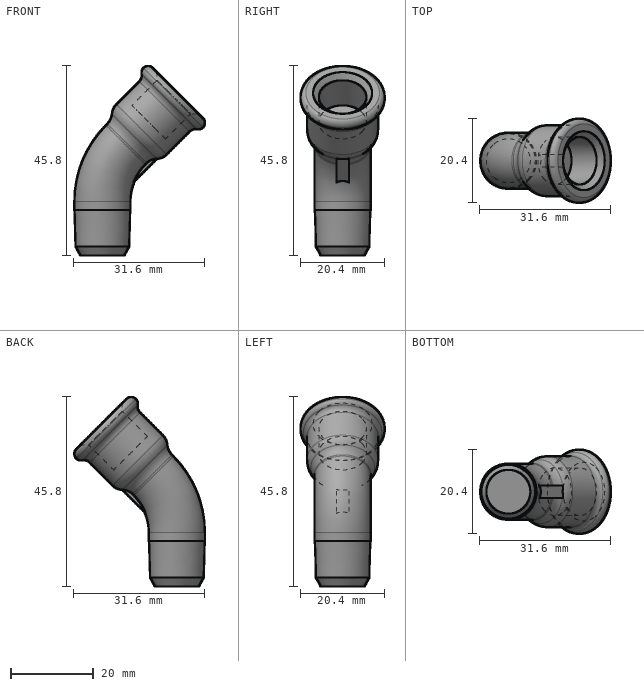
import cadquery as cq
import math


BEND_ANGLE = 45.0
AXIS_CROSSING_Z = 21.0
BEND_START_Z = 13.0
MOUTH_DISTANCE = 25.76

PIPE_RADIUS = 6.8
SPIGOT_LENGTH = 11.0
SPIGOT_TOP_RADIUS = 6.75
SPIGOT_LOWER_RADIUS = 6.5
LEAD_IN_HEIGHT = 2.2
LEAD_IN_END_RADIUS = 5.3

SOCKET_RADIUS = 8.6
BEAD_RADIUS = 1.65
BEAD_CENTRE_RADIUS = 8.55
MOUTH_FACE_RADIUS = 8.88
BEAD_BLEND_DEPTH = 4.6
SHOULDER_START_DEPTH = 12.4
SHOULDER_END_DEPTH = 17.3
BORE_RADIUS = 5.73
BORE_DEPTH = 9.95
BORE_CHAMFER = 1.39

WEB_THICKNESS = 3.0
WEB_EDGE_RADIUS = 7.67
WEB_START_DEPTH = 13.5
WEB_END_DEPTH = 25.5

TANGENT_LENGTH = AXIS_CROSSING_Z - BEND_START_Z
BEND_RADIUS = TANGENT_LENGTH / math.tan(math.radians(BEND_ANGLE / 2))
BEND_END_DEPTH = MOUTH_DISTANCE - TANGENT_LENGTH


def place_on_socket_axis(shape):
    """Move a shape built with its mouth at the origin, facing +Z, onto the socket axis."""
    raised = shape.translate((0, 0, MOUTH_DISTANCE))
    tilted = raised.rotate((0, 0, 0), (0, 1, 0), BEND_ANGLE)
    return tilted.translate((0, 0, AXIS_CROSSING_Z))


def revolve_about_z(profile):
    """Revolve a closed (radius, height) outline about the Z axis."""
    return profile.close().revolve(360, (0, 0, 0), (0, 1, 0))


def make_spigot():
    """Tapered spigot with a conical lead-in and a short cylindrical collar."""
    profile = (
        cq.Workplane("XZ")
        .lineTo(LEAD_IN_END_RADIUS, 0)
        .lineTo(SPIGOT_LOWER_RADIUS, LEAD_IN_HEIGHT)
        .lineTo(SPIGOT_TOP_RADIUS, SPIGOT_LENGTH)
        .lineTo(PIPE_RADIUS, SPIGOT_LENGTH)
        .lineTo(PIPE_RADIUS, BEND_START_Z)
        .lineTo(0, BEND_START_Z)
    )
    return revolve_about_z(profile)


def make_bend():
    """Circular pipe section swept around the bend towards +X."""
    return (
        cq.Workplane("XY", origin=(0, 0, BEND_START_Z))
        .circle(PIPE_RADIUS)
        .revolve(BEND_ANGLE, (BEND_RADIUS, 0, 0), (BEND_RADIUS, 1, 0))
    )


def make_socket():
    """Solid socket body: ogee shoulder, straight wall, fillet and rolled bead."""
    wall_offset = SOCKET_RADIUS - BEAD_CENTRE_RADIUS
    mouth_face_step = MOUTH_FACE_RADIUS - BEAD_CENTRE_RADIUS
    bead_depth = math.sqrt(BEAD_RADIUS**2 - mouth_face_step**2)
    blend_run = BEAD_BLEND_DEPTH - bead_depth
    blend_radius = (blend_run**2 + wall_offset**2 - BEAD_RADIUS**2) / (2 * (BEAD_RADIUS - wall_offset))
    blend_centre_radius = SOCKET_RADIUS + blend_radius
    bead_share = BEAD_RADIUS / (BEAD_RADIUS + blend_radius)
    bead_end_depth = bead_depth + bead_share * blend_run
    bead_end_radius = BEAD_CENTRE_RADIUS + bead_share * (blend_centre_radius - BEAD_CENTRE_RADIUS)

    shoulder_mid_radius = (PIPE_RADIUS + SOCKET_RADIUS) / 2
    shoulder_mid_depth = (SHOULDER_START_DEPTH + SHOULDER_END_DEPTH) / 2

    profile = (
        cq.Workplane("XZ")
        .moveTo(0, -BEND_END_DEPTH)
        .lineTo(PIPE_RADIUS, -BEND_END_DEPTH)
        .lineTo(PIPE_RADIUS, -SHOULDER_END_DEPTH)
        .tangentArcPoint((shoulder_mid_radius, -shoulder_mid_depth), relative=False)
        .tangentArcPoint((SOCKET_RADIUS, -SHOULDER_START_DEPTH), relative=False)
        .lineTo(SOCKET_RADIUS, -BEAD_BLEND_DEPTH)
        .tangentArcPoint((bead_end_radius, -bead_end_depth), relative=False)
        .tangentArcPoint((BEAD_CENTRE_RADIUS + BEAD_RADIUS, -bead_depth), relative=False)
        .tangentArcPoint((MOUTH_FACE_RADIUS, 0), relative=False)
        .lineTo(0, 0)
    )
    return place_on_socket_axis(revolve_about_z(profile))


def make_bore():
    """Flat-bottomed socket bore with a 45 degree chamfer at the mouth."""
    profile = (
        cq.Workplane("XZ")
        .lineTo(BORE_RADIUS + BORE_CHAMFER, 0)
        .lineTo(BORE_RADIUS, -BORE_CHAMFER)
        .lineTo(BORE_RADIUS, -BORE_DEPTH)
        .lineTo(0, -BORE_DEPTH)
    )
    return place_on_socket_axis(revolve_about_z(profile))


def make_web():
    """Flat web in the XZ plane bridging the hollow between bend and shoulder."""
    web = cq.Workplane("XY").box(
        WEB_EDGE_RADIUS,
        WEB_THICKNESS,
        WEB_END_DEPTH - WEB_START_DEPTH,
        centered=(False, True, False),
    )
    return place_on_socket_axis(web.translate((0, 0, -WEB_END_DEPTH)))


elbow = make_spigot().union(make_bend()).union(make_socket()).union(make_web())
result = elbow.cut(make_bore())